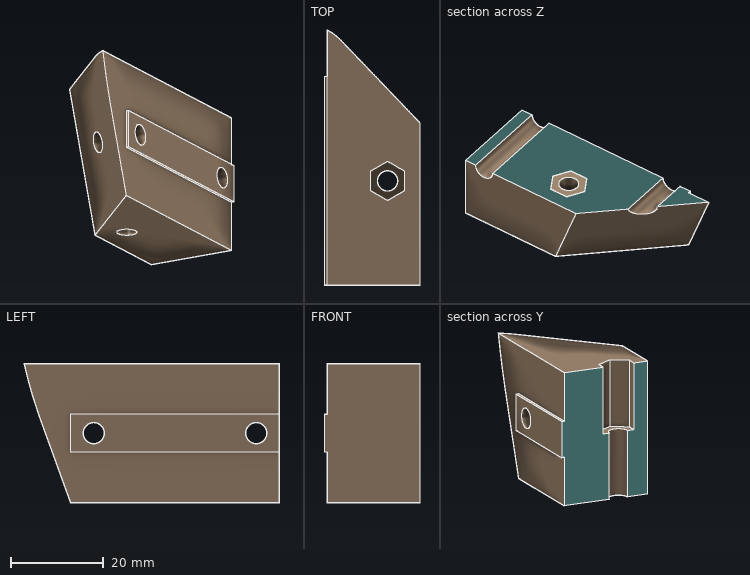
import cadquery as cq

width = 20.0
base_length = 45.0
side_length = 35.0
height = 30.0

sharp_tip_length = 55.88

tip_radius = 10.7
tangent_height = 18.6
tangent_offset = 2.86

rail_depth = 0.6
rail_height = 8.2

cross_hole_diameter = 4.5
cross_hole_positions = (5.0, 40.0)

bolt_x = 13.0
bolt_y = 22.5
bolt_hole_diameter = 4.3
nut_flats = 7.3
nut_pocket_depth = 15.0

mid_height = height / 2
reach = 3 * base_length


def slanted_face_point(x, z):
    """Point of the slanted end plane at the given x and z."""
    rise = (sharp_tip_length - base_length) * z / height
    setback = (sharp_tip_length - side_length) * x / width
    return cq.Vector(x, base_length + rise - setback, z)


def make_block():
    return cq.Workplane("XY").box(width, sharp_tip_length, height, centered=False)


def make_end_envelope():
    """Prism that lies under the slanted end plane and its rounded tip."""
    inner_end = slanted_face_point(0, tangent_height)
    top_end = slanted_face_point(tangent_offset, height)
    axis = (top_end - inner_end).normalized()
    in_face = slanted_face_point(width, 0) - slanted_face_point(0, 0)
    outward = axis.cross(in_face).normalized()
    if outward.y < 0:
        outward = -outward
    toward_tip = axis.cross(outward)
    plane = cq.Plane(origin=inner_end, xDir=toward_tip, normal=-axis)
    return (
        cq.Workplane(plane)
        .moveTo(-reach, 0)
        .lineTo(0, 0)
        .radiusArc((tip_radius, -tip_radius), tip_radius)
        .lineTo(tip_radius, -reach)
        .lineTo(-reach, -reach)
        .close()
        .extrude(reach, both=True)
    )


def make_rail():
    return (
        cq.Workplane("XY")
        .box(rail_depth, base_length, rail_height, centered=(False, False, True))
        .translate((-rail_depth, 0, mid_height))
    )


def make_cross_holes():
    centers = [(y, mid_height) for y in cross_hole_positions]
    return (
        cq.Workplane("YZ", origin=(-rail_depth, 0, 0))
        .pushPoints(centers)
        .circle(cross_hole_diameter / 2)
        .extrude(rail_depth + width)
    )


def make_bolt_hole():
    return cq.Workplane("XY").center(bolt_x, bolt_y).circle(bolt_hole_diameter / 2).extrude(height)


def make_nut_pocket():
    """Hexagonal pocket with two flats parallel to the inner face."""
    return (
        cq.Workplane("XY", origin=(bolt_x, bolt_y, height))
        .polygon(6, nut_flats, circumscribed=True)
        .extrude(-nut_pocket_depth)
    )


body = make_block().intersect(make_end_envelope()).union(make_rail())
result = body.cut(make_cross_holes()).cut(make_bolt_hole()).cut(make_nut_pocket())